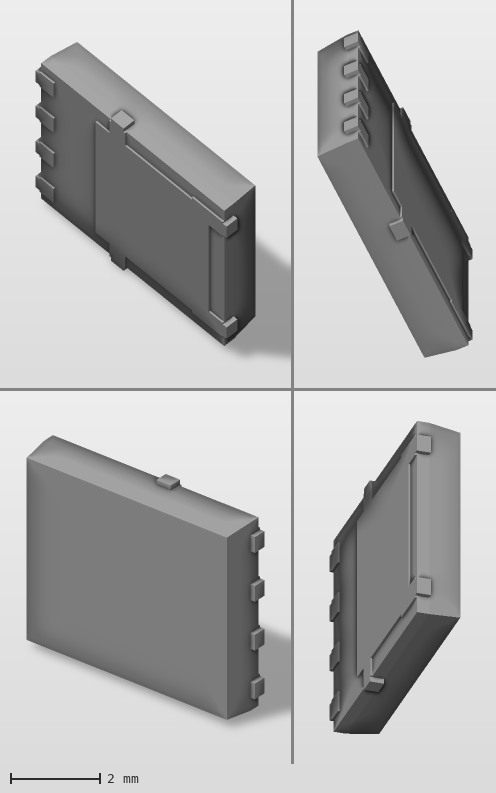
import cadquery as cq
import math


body_x = 5.90
body_z = 4.90
standoff = 0.05
metal_thickness = 0.34
total_depth = 1.10
draft_angle = 6.0

foot_width = 0.51
tip_width = 0.41
foot_length = 0.45
tip_length = 0.125

lead_count = 4
lead_pitch = 1.27

pad_left = -1.15
pad_right = body_x / 2 - foot_length
pad_z = 4.00
side_foot_x = -0.45
corner_foot_z = 1.825
shoulder_left = 1.955


def plate(x_min, x_max, z_min, z_max, y_min, y_max):
    """Rectangular block between the given limits."""
    size = (x_max - x_min, y_max - y_min, z_max - z_min)
    return cq.Workplane("XY").box(*size, centered=False).translate((x_min, y_min, z_min))


def metal(x_min, x_max, z_min, z_max):
    """Block of the full metal thickness, with its contact face at Y = 0."""
    return plate(x_min, x_max, z_min, z_max, 0, metal_thickness)


def terminal(foot_start):
    """Foot and tip pointing to +X, on the line Z = 0; the tip sticks out of the housing."""
    edge = body_x / 2
    foot = metal(foot_start, edge, -foot_width / 2, foot_width / 2)
    tip = metal(edge, edge + tip_length, -tip_width / 2, tip_width / 2)
    return foot.union(tip)


def make_lead(z):
    """Lead at height z, pointing to -X."""
    return terminal(pad_right).mirror("YZ").translate((0, 0, z))


def make_drain_pad():
    pad = metal(pad_left, pad_right, -pad_z / 2, pad_z / 2)
    for side in (-1, 1):
        pad = pad.union(terminal(shoulder_left).translate((0, 0, side * corner_foot_z)))
        foot_z = sorted((0, side * body_z / 2))
        tip_z = sorted((0, side * (body_z / 2 + tip_length)))
        pad = pad.union(metal(side_foot_x - foot_width / 2, side_foot_x + foot_width / 2, *foot_z))
        pad = pad.union(metal(side_foot_x - tip_width / 2, side_foot_x + tip_width / 2, *tip_z))
    return pad


def make_housing(inserts):
    """Rim and drafted cap, with a matching recess for each metal insert."""
    rim = plate(-body_x / 2, body_x / 2, -body_z / 2, body_z / 2, standoff, metal_thickness)
    cap_depth = total_depth - metal_thickness
    cap_base = cq.Workplane("XZ", origin=(0, metal_thickness, 0)).rect(body_x, body_z)
    inset = cap_depth * math.tan(math.radians(draft_angle))
    cap = (
        cap_base.workplane(offset=-cap_depth)
        .rect(body_x - 2 * inset, body_z - 2 * inset)
        .loft(ruled=True)
    )
    housing = rim.union(cap)
    for insert in inserts:
        housing = housing.cut(insert)
    return housing


first_lead_z = -lead_pitch * (lead_count - 1) / 2
leads = [make_lead(first_lead_z + i * lead_pitch) for i in range(lead_count)]
drain_pad = make_drain_pad()
housing = make_housing(leads + [drain_pad])

result = cq.Compound.makeCompound(
    [housing.val(), drain_pad.val(), *[lead.val() for lead in leads]]
)